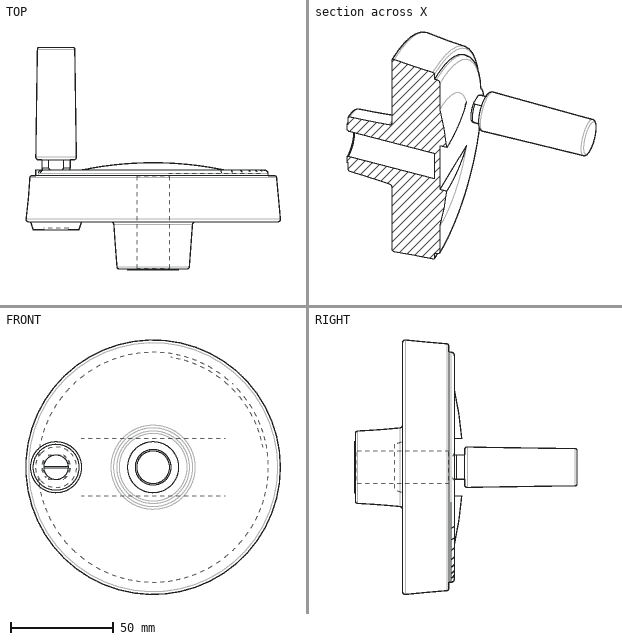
import cadquery as cq
import math

bushing_face_y = 0.0
hub_end_y = 0.5
cap_end_y = 19.7
disc_front_y = 23.5
disc_back_y = 46.2
rim_back_y = 49.0
dome_edge_y = 52.6
grip_start_y = 53.9
grip_end_y = 109.0

disc_front_radius = 62.48
disc_back_radius = 60.4
disc_front_fillet = 1.4
disc_back_fillet = 1.0
rim_radius = 56.4
rim_fillet = 1.8

pad_outer_radius = 37.8
pad_embed_depth = 1.0
recess_half_width = 14.0

hub_base_radius = 19.4
hub_end_radius = 17.7
hub_end_fillet = 1.2
hub_root_fillet = 1.3
bushing_diameter = 25.0
bore_diameter = 16.0
bore_mouth_diameter = 17.5
bore_bottom_y = 46.0

handle_x = -47.5
cap_base_diameter = 25.0
cap_end_diameter = 22.5
screw_diameter = 12.0
screw_slot_width = 0.6
screw_slot_depth = 1.0
screw_head_height = 0.1
screw_face_y = cap_end_y - screw_head_height

lug_diameter = 20.0
neck_diameter = 14.0
neck_width = 12.0
neck_chamfer_radial = 0.3
neck_chamfer_height = 0.9
grip_base_diameter = 20.0
grip_end_diameter = 18.4
grip_base_fillet = 1.4
grip_end_fillet = 1.0


def cylinder(radius, start_y, end_y, x=0.0):
    """Cylinder parallel to Y between two Y positions."""
    return frustum(radius, radius, start_y, end_y, x)


def frustum(start_radius, end_radius, start_y, end_y, x=0.0):
    """Cone frustum parallel to Y between two Y positions."""
    profile = [(0, start_y), (start_radius, start_y), (end_radius, end_y), (0, end_y)]
    body = cq.Workplane("XY").polyline(profile).close().revolve(360, (0, 0), (0, 1))
    return body.translate((x, 0, 0))


def box_between(length_x, width_z, start_y, end_y, x=0.0):
    """Box centred on (x, Z = 0) between two Y positions."""
    box = cq.Workplane("XY").box(length_x, end_y - start_y, width_z)
    return box.translate((x, (start_y + end_y) / 2, 0))


def make_disc():
    """Tapered disc with a smaller raised step on its back."""
    disc = frustum(disc_front_radius, disc_back_radius, disc_front_y, disc_back_y)
    disc = disc.faces("<Y").edges().fillet(disc_front_fillet)
    disc = disc.faces(">Y").edges().fillet(disc_back_fillet)
    step = cylinder(rim_radius, disc_back_y, rim_back_y)
    step = step.faces(">Y").edges().fillet(rim_fillet)
    return disc.union(step)


def make_pads():
    """Shallow spherical dome split in two by a straight recess along X."""
    rise = dome_edge_y - rim_back_y
    span = pad_outer_radius**2 - recess_half_width**2
    centre_y = (dome_edge_y + rim_back_y) / 2 - span / (2 * rise)
    sphere_radius = math.hypot(pad_outer_radius, rim_back_y - centre_y)
    apex_y = centre_y + sphere_radius
    base_y = rim_back_y - pad_embed_depth
    dome = (
        cq.Workplane("XY")
        .moveTo(0, base_y)
        .lineTo(pad_outer_radius, base_y)
        .lineTo(pad_outer_radius, rim_back_y)
        .radiusArc((0, apex_y), -sphere_radius)
        .close()
        .revolve(360, (0, 0), (0, 1))
    )
    recess = box_between(2 * pad_outer_radius, 2 * recess_half_width, rim_back_y, apex_y)
    return dome.cut(recess)


def make_hub():
    """Tapered hub with a flared root and a bushing just proud of its end."""
    hub = frustum(hub_end_radius, hub_base_radius, hub_end_y, disc_front_y)
    hub = hub.faces("<Y").edges().fillet(hub_end_fillet)
    bushing = cylinder(bushing_diameter / 2, bushing_face_y, disc_front_y)
    return hub.union(bushing)


def add_hub(disc):
    """Join the hub to the disc and round the corner between them."""
    body = disc.union(make_hub())
    reach = hub_base_radius + hub_root_fillet
    root = cq.selectors.BoxSelector(
        (-reach, disc_front_y - hub_root_fillet / 2, -reach),
        (reach, disc_front_y + hub_root_fillet / 2, reach),
    )
    return body.edges(root).edges("%CIRCLE").fillet(hub_root_fillet)


def make_bore():
    """Blind bore with a 45 degree chamfered mouth."""
    mouth_depth = (bore_mouth_diameter - bore_diameter) / 2
    bore = cylinder(bore_diameter / 2, bushing_face_y, bore_bottom_y)
    mouth = frustum(
        bore_mouth_diameter / 2, bore_diameter / 2, bushing_face_y, bushing_face_y + mouth_depth
    )
    return bore.union(mouth)


def make_cap():
    """Tapered pivot cap on the front of the disc, with a screw head just proud of it."""
    cap = frustum(cap_end_diameter / 2, cap_base_diameter / 2, cap_end_y, disc_front_y, handle_x)
    screw = cylinder(screw_diameter / 2, screw_face_y, disc_front_y, handle_x)
    return cap.union(screw)


def make_screw_slot():
    """Narrow driver slot across the full screw head."""
    slot_end_y = screw_face_y + screw_slot_depth
    slot = box_between(screw_diameter, screw_slot_width, screw_face_y, slot_end_y, handle_x)
    return slot.intersect(cylinder(screw_diameter / 2, screw_face_y, slot_end_y, handle_x))


def make_handle():
    """Round tapered grip on a neck with two flats, standing on a pivot lug."""
    lug = cylinder(lug_diameter / 2, disc_back_y, rim_back_y, handle_x)
    neck_radius = neck_diameter / 2
    neck_foot_radius = neck_radius - neck_chamfer_radial
    chamfer_top_y = rim_back_y + neck_chamfer_height
    neck = cylinder(neck_radius, chamfer_top_y, grip_start_y, handle_x)
    neck = neck.union(frustum(neck_foot_radius, neck_radius, rim_back_y, chamfer_top_y, handle_x))
    flats = box_between(neck_diameter, neck_width, rim_back_y, grip_start_y, handle_x)
    grip = frustum(grip_base_diameter / 2, grip_end_diameter / 2, grip_start_y, grip_end_y, handle_x)
    grip = grip.faces("<Y").edges().fillet(grip_base_fillet)
    grip = grip.faces(">Y").edges().fillet(grip_end_fillet)
    return lug.union(neck.intersect(flats)).union(grip)


result = (
    add_hub(make_disc())
    .union(make_pads())
    .union(make_cap())
    .union(make_handle())
    .cut(make_bore())
    .cut(make_screw_slot())
)